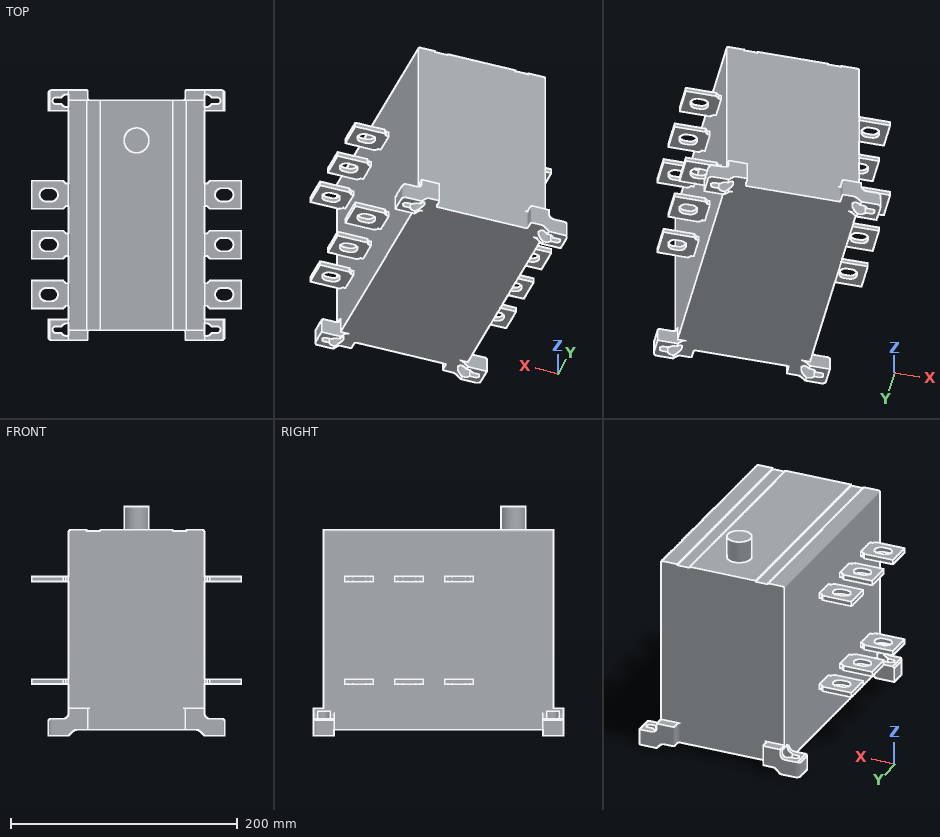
import cadquery as cq

body_width = 120.0
body_length = 203.0
body_bottom = 5.3
body_top = 182.0
top_edge_radius = 2.0

groove_inner_x = 32.0
groove_outer_x = 44.0
groove_depth = 1.0

shaft_diameter = 22.0
shaft_top = 202.5
shaft_y = 66.0

lug_tip_x = 92.5
lug_width = 25.0
lug_thickness = 4.5
lug_neck_length = 2.3
lug_corner_chamfer = 2.5
lug_hole_x = 77.4
lug_hole_length = 16.0
lug_hole_width = 11.5
lug_pitch = 44.0
lug_middle_y = -26.0
lug_row_centers_z = (48.0, 138.5)

foot_tip_x = 78.0
foot_inner_x = 43.0
foot_end_y = 110.5
foot_width = 18.5
foot_step_height = 15.2
foot_top = 24.5
foot_step_radius = 5.0
foot_underside_x = 60.0
foot_underside_radius = 5.0
foot_corner_radius = 3.5
foot_tip_chamfer = 1.5
foot_inner_radius = 1.2
foot_root_radius = 1.5

keyhole_y = 101.0
keyhole_head_x = 61.5
keyhole_head_inner_x = 59.5
keyhole_head_diameter = 11.0
keyhole_head_height = 22.0
keyhole_slot_end_x = 74.0
keyhole_slot_width = 5.5

half_width = body_width / 2
half_length = body_length / 2


def make_body():
    """Housing block with rounded long top edges and two grooves in the top face."""
    height = body_top - body_bottom
    body = (
        cq.Workplane("XY")
        .workplane(offset=body_bottom)
        .box(body_width, body_length, height, centered=(True, True, False))
        .edges("|Y and >Z")
        .fillet(top_edge_radius)
    )
    groove_width = groove_outer_x - groove_inner_x
    groove_center_x = (groove_outer_x + groove_inner_x) / 2
    grooves = (
        cq.Workplane("XY")
        .workplane(offset=body_top - groove_depth)
        .pushPoints([(-groove_center_x, 0), (groove_center_x, 0)])
        .rect(groove_width, body_length)
        .extrude(groove_depth)
    )
    return body.cut(grooves)


def make_shaft():
    """Round shaft standing on the top face."""
    return (
        cq.Workplane("XY")
        .workplane(offset=body_top)
        .center(0, shaft_y)
        .circle(shaft_diameter / 2)
        .extrude(shaft_top - body_top)
    )


def make_lug(y, z):
    """Terminal lug on the +X side, centred at the given Y and Z."""
    half_lug = lug_width / 2
    half_neck = half_lug - lug_corner_chamfer
    neck_end_x = half_width + lug_neck_length
    shoulder_x = neck_end_x + lug_corner_chamfer
    return (
        cq.Workplane("XY")
        .workplane(offset=z - lug_thickness / 2)
        .center(0, y)
        .moveTo(half_width, -half_neck)
        .lineTo(neck_end_x, -half_neck)
        .lineTo(shoulder_x, -half_lug)
        .lineTo(lug_tip_x, -half_lug)
        .lineTo(lug_tip_x, half_lug)
        .lineTo(shoulder_x, half_lug)
        .lineTo(neck_end_x, half_neck)
        .lineTo(half_width, half_neck)
        .close()
        .moveTo(lug_hole_x, 0)
        .slot2D(lug_hole_length, lug_hole_width)
        .extrude(lug_thickness)
    )


def make_foot():
    """Stepped mounting foot at the +X, +Y corner, without its keyhole."""
    foot = (
        cq.Workplane("XZ", origin=(0, foot_end_y, 0))
        .moveTo(foot_inner_x, body_bottom)
        .lineTo(foot_underside_x - body_bottom, body_bottom)
        .lineTo(foot_underside_x, 0)
        .lineTo(foot_tip_x, 0)
        .lineTo(foot_tip_x, foot_step_height)
        .lineTo(half_width + foot_step_radius, foot_step_height)
        .radiusArc((half_width, foot_step_height + foot_step_radius), foot_step_radius)
        .lineTo(half_width, foot_top)
        .lineTo(foot_inner_x, foot_top)
        .close()
        .extrude(foot_width)
    )
    underside_bend = cq.selectors.NearestToPointSelector(
        (foot_underside_x - body_bottom, foot_end_y - foot_width / 2, body_bottom)
    )
    foot = foot.edges(underside_bend).fillet(foot_underside_radius)
    tip_top_edge = cq.selectors.NearestToPointSelector(
        (foot_tip_x, foot_end_y - foot_width / 2, foot_step_height)
    )
    foot = foot.edges(tip_top_edge).chamfer(foot_tip_chamfer)
    tip_corner = cq.selectors.NearestToPointSelector((foot_tip_x, foot_end_y, foot_step_height / 2))
    foot = foot.edges(tip_corner).fillet(foot_corner_radius)
    return foot.edges("|Z and <X and >Y").fillet(foot_inner_radius)


def make_foot_root():
    """Concave fillet between the inner side of the foot and the housing end face."""
    return (
        cq.Workplane("XY")
        .workplane(offset=body_bottom)
        .moveTo(foot_inner_x, half_length)
        .lineTo(foot_inner_x - foot_root_radius, half_length)
        .radiusArc((foot_inner_x, half_length + foot_root_radius), -foot_root_radius)
        .close()
        .extrude(foot_top - body_bottom)
    )


def make_keyhole():
    """Keyhole cutter: an oblong head that bites into the housing and a slot toward the foot tip."""
    head_length = keyhole_head_x - keyhole_head_inner_x + keyhole_head_diameter
    head = (
        cq.Workplane("XY")
        .center((keyhole_head_x + keyhole_head_inner_x) / 2, keyhole_y)
        .slot2D(head_length, keyhole_head_diameter)
        .extrude(keyhole_head_height)
    )
    slot_end_radius = keyhole_slot_width / 2
    slot_end_center_x = keyhole_slot_end_x - slot_end_radius
    slot_length = keyhole_slot_end_x - keyhole_head_x + slot_end_radius
    slot = (
        cq.Workplane("XY")
        .center((keyhole_head_x + slot_end_center_x) / 2, keyhole_y)
        .slot2D(slot_length, keyhole_slot_width)
        .extrude(foot_step_height)
    )
    return head.union(slot)


def at_four_corners(shape):
    """Copies of a +X, +Y corner shape mirrored to all four corners."""
    pair = [shape, shape.mirror("YZ")]
    return pair + [item.mirror("XZ") for item in pair]


result = make_body().union(make_shaft())

for row_z in lug_row_centers_z:
    for step in (-1, 0, 1):
        lug = make_lug(lug_middle_y + step * lug_pitch, row_z)
        result = result.union(lug).union(lug.mirror("YZ"))

for foot in at_four_corners(make_foot().union(make_foot_root())):
    result = result.union(foot)

for keyhole in at_four_corners(make_keyhole()):
    result = result.cut(keyhole)